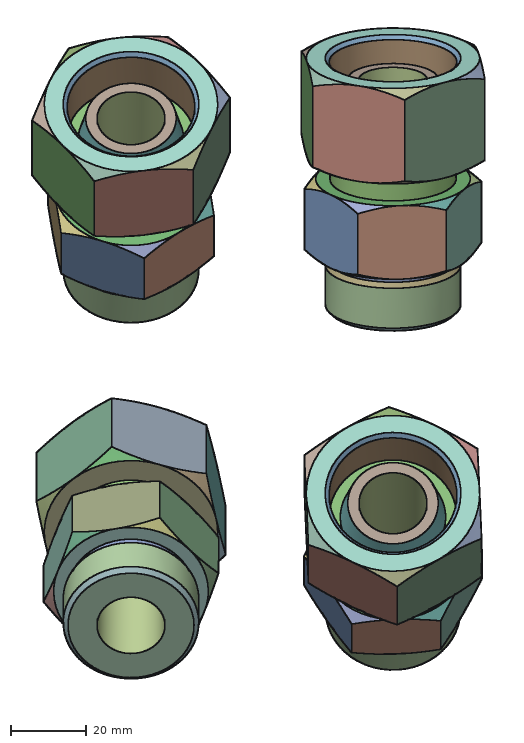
import cadquery as cq
import math

total_height = 71.0
nut_bottom = 43.95
body_hex_top = 36.85
body_hex_bottom = 16.05
thread_relief_bottom = 13.85

nut_corners = 53.1
body_hex_corners = 47.35
hex_chamfer_angle = 30.0

neck_diameter = 33.5
thread_diameter = 36.0
thread_chamfer = 1.3

mouth_diameter = 36.0
nut_bore_diameter = 33.9
bore_floor = 56.6
cone_tip = 65.05
cone_tip_diameter = 24.0
cone_base_diameter = 28.0
through_diameter = 18.0


def cylinder(diameter, bottom, top):
    """Solid cylinder on the Z axis between two heights."""
    return cq.Workplane("XY").workplane(offset=bottom).circle(diameter / 2).extrude(top - bottom)


def revolved(profile):
    """Solid turned around Z from (radius, height) points."""
    return cq.Workplane("XZ").polyline(profile).close().revolve(360, (0, 0), (0, 1))


def chamfered_hex(corners, bottom, top, rotation):
    """Hexagonal prism whose corners are turned down to the flats at both ends."""
    prism = (
        cq.Workplane("XY")
        .workplane(offset=bottom)
        .polygon(6, corners)
        .extrude(top - bottom)
        .rotate((0, 0, 0), (0, 0, 1), rotation)
    )
    corner_radius = corners / 2
    flat_radius = corner_radius * math.cos(math.radians(30))
    drop = (corner_radius - flat_radius) * math.tan(math.radians(hex_chamfer_angle))
    envelope = revolved([
        (0, bottom),
        (flat_radius, bottom),
        (corner_radius, bottom + drop),
        (corner_radius, top - drop),
        (flat_radius, top),
        (0, top),
    ])
    return prism.intersect(envelope)


nut = chamfered_hex(nut_corners, nut_bottom, total_height, 90)
body_hex = chamfered_hex(body_hex_corners, body_hex_bottom, body_hex_top, 0)

neck = cylinder(neck_diameter, thread_relief_bottom - thread_chamfer, nut_bottom)
threaded_end = cylinder(thread_diameter, 0, thread_relief_bottom).faces("<Z or >Z").chamfer(thread_chamfer)

mouth_chamfer = (mouth_diameter - nut_bore_diameter) / 2
nut_bore = revolved([
    (0, bore_floor),
    (nut_bore_diameter / 2, bore_floor),
    (nut_bore_diameter / 2, total_height - mouth_chamfer),
    (mouth_diameter / 2, total_height),
    (0, total_height),
])

sealing_cone = revolved([
    (0, bore_floor),
    (cone_base_diameter / 2, bore_floor),
    (cone_tip_diameter / 2, cone_tip),
    (0, cone_tip),
])

through_bore = cylinder(through_diameter, 0, total_height)

result = (
    nut.union(neck)
    .union(body_hex)
    .union(threaded_end)
    .cut(nut_bore)
    .union(sealing_cone)
    .cut(through_bore)
)